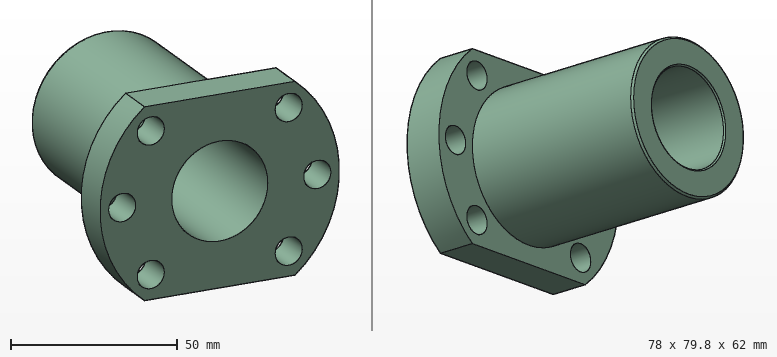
import cadquery as cq

total_length = 78.0
flange_diameter = 79.75
flange_height = 62.0
flange_thickness = 13.0

barrel_diameter = 50.0
bore_diameter = 32.0
barrel_chamfer = 0.6
bore_chamfer = 0.5

hole_diameter = 9.0
hole_circle_diameter = 65.0
hole_angle_step = 45
holes_per_side = 3
side_directions = (0, 180)

flange_start = total_length - flange_thickness


def make_barrel():
    """Barrel along X with its free end at X = 0, chamfered on the outer edge."""
    barrel = cq.Workplane("YZ").circle(barrel_diameter / 2).extrude(total_length)
    return barrel.faces("<X").chamfer(barrel_chamfer)


def make_flange():
    """Round flange cut by two parallel flats at top and bottom."""
    plane = cq.Workplane("YZ", origin=(flange_start, 0, 0))
    disc = plane.circle(flange_diameter / 2).extrude(flange_thickness)
    band = plane.rect(flange_diameter, flange_height).extrude(flange_thickness)
    return disc.intersect(band)


def make_bore():
    """Through bore with a small chamfer at the free end of the barrel."""
    bore = cq.Workplane("YZ").circle(bore_diameter / 2).extrude(total_length)
    mouth_radius = bore_diameter / 2 + bore_chamfer
    mouth = cq.Solid.makeCone(
        mouth_radius, bore_diameter / 2, bore_chamfer, cq.Vector(0, 0, 0), cq.Vector(1, 0, 0)
    )
    return bore.union(cq.Workplane(mouth))


def make_mounting_holes():
    """Holes on one circle, spaced evenly about the +Y and -Y directions."""
    holes = cq.Workplane("YZ", origin=(flange_start, 0, 0))
    for direction in side_directions:
        holes = holes.polarArray(
            hole_circle_diameter / 2, direction - hole_angle_step, 2 * hole_angle_step, holes_per_side
        )
        holes = holes.circle(hole_diameter / 2)
    return holes.extrude(flange_thickness)


result = make_barrel().union(make_flange()).cut(make_bore()).cut(make_mounting_holes())